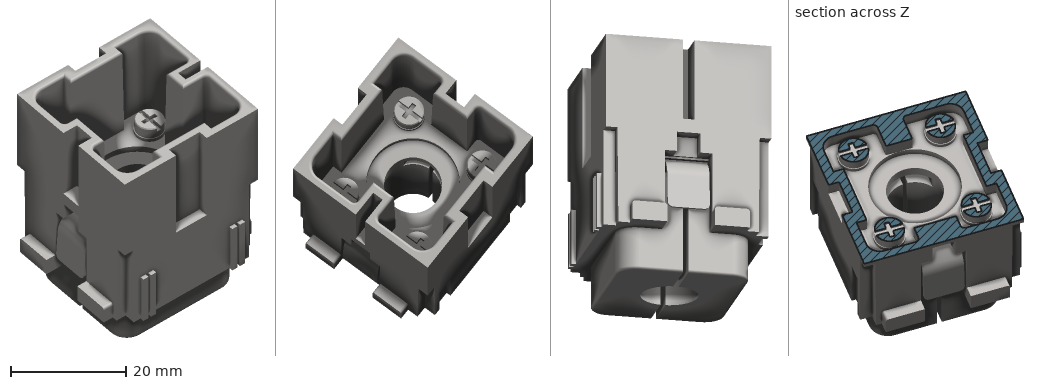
import cadquery as cq
import math

height = 42.0
body_x = 29.5
body_y = 30.0
body_bottom = 7.6
half_x = body_x / 2
half_y = body_y / 2

core_x = 23.7
core_y = 25.58
core_radius = 3.53
core_edge_fillet = 0.45
core_face_y = core_y / 2
bore_diameter = 10.1
counterbore_diameter = 16.3
counterbore_depth = 1.25
slit_width = 0.92

floor_z = 23.35
cavity_half_x = 12.85
cavity_half_y = 13.3
cavity_corner_radius = 2.45
key_root_radius = 0.7
wall_draft = 0.7
rim_fillet = 0.55
side_key_half_width = 6.05
side_key_face = 11.0
front_key_half_width = 3.95
front_key_face = 10.35
back_key_half_width = 2.48
back_key_face = 8.15

side_slot_width = 6.95
side_slot_depth = 1.95
side_slot_bottom = 23.45
end_slot_bottom = 27.43
front_slot_width = 4.07
front_slot_depth = 3.05
back_slot_width = 2.05
back_slot_depth = 5.0

notch_top = 24.95
notch_depth = 2.05
notch_bottom_extra = 0.15

window_width = 8.5
window_top = 21.4
inner_window_top = 21.1
inner_window_depth = 3.95
upper_window_depth = 3.1
passage_top = 20.25
passage_bottom = 18.05
relief_width = 4.2
relief_depth = 2.7

latch_width = 7.5
latch_thickness = 0.5
latch_bottom = 11.0
latch_bend_z = 16.93
latch_top = 20.55
latch_tip_overhang = 0.3
latch_bend_inset = 0.13
latch_corner_radius = 1.0
latch_root_y = 9.25

lug_reach = 2.0
lug_height = 3.4
lug_inner_x = window_width / 2
front_lug_outer_x = 11.45
back_lug_outer_x = 10.45
lug_round = 0.5

guide_top = 17.55
guide_inner_y = 8.5
guide_outer_y = 11.6
groove_depth = 0.85
rib_reach = 0.8
rib_width = 1.15
rib_inner_y = 8.55
rib_pitch = 1.72

screw_x = 8.02
screw_y = 9.3
screw_height = 2.9
screw_radius = 2.65
screw_edge_chamfer = 0.15
collar_radius = 2.77
collar_height = 0.7
drive_width = 0.85
drive_depth = 0.85
cross_length = 3.05

margin = 0.4


def block(x_range, y_range, z_range):
    """Box between the given limits on each axis."""
    limits = (x_range, y_range, z_range)
    size = [high - low for low, high in limits]
    center = [(high + low) / 2 for low, high in limits]
    return cq.Workplane("XY").box(*size).translate(tuple(center))


def centered(width):
    """Limits of a stretch of the given width about zero."""
    return (-width / 2, width / 2)


def drafted_side_key(depth):
    """Key on the +X wall, narrowing upward and sunk past the wall."""
    width_x = half_x - side_key_face
    key = cq.Workplane("XY").rect(2 * width_x, 2 * side_key_half_width)
    return key.extrude(depth, taper=wall_draft).translate((half_x, 0, 0))


def cavity():
    """Open-topped chamber with rounded corners and one key on each wall."""
    x, y = cavity_half_x, cavity_half_y
    depth = height - floor_z
    keys_z = (0, depth)
    chamber = block(centered(2 * x), centered(2 * y), keys_z)
    chamber = chamber.edges("|Z").fillet(cavity_corner_radius)
    front_key = block(centered(2 * front_key_half_width), (-y, -front_key_face), keys_z)
    back_key = block(centered(2 * back_key_half_width), (back_key_face, y), keys_z)
    chamber = chamber.cut(front_key).cut(back_key)
    for root_x, wall_y in ((front_key_half_width, -y), (back_key_half_width, y)):
        near_corner = (-root_x - margin, wall_y - margin, 0)
        far_corner = (root_x + margin, wall_y + margin, depth)
        roots = cq.selectors.BoxSelector(near_corner, far_corner)
        chamber = chamber.edges("|Z").edges(roots).fillet(key_root_radius)
    outline = chamber.faces("<Z").wires().toPending()
    drafted = outline.workplane(invert=True).extrude(depth, taper=-wall_draft, combine=False)
    side_key = drafted_side_key(depth)
    return drafted.cut(side_key).cut(side_key.mirror("YZ"))


def shell():
    """Housing on its core, hollowed from above and rounded along the rim."""
    core = cq.Workplane("XY").rect(core_x, core_y).extrude(body_bottom)
    core = core.edges("|Z").fillet(core_radius).faces("<Z").edges().fillet(core_edge_fillet)
    body = block(centered(body_x), centered(body_y), (body_bottom, height))
    body = body.cut(cavity().translate((0, 0, floor_z)))
    near_corner = (margin - half_x, margin - half_y, height - margin)
    far_corner = (half_x - margin, half_y - margin, height + margin)
    rim = cq.selectors.BoxSelector(near_corner, far_corner)
    return body.edges(rim).fillet(rim_fillet).union(core)


def key_slots():
    """Slots running down the outside of the four keys."""
    side_z = (side_slot_bottom, height)
    end_z = (end_slot_bottom, height)
    side_y = centered(side_slot_width)
    slots = block((-half_x, -half_x + side_slot_depth), side_y, side_z)
    slots = slots.union(block((half_x - side_slot_depth, half_x), side_y, side_z))
    front_y = (-half_y, -half_y + front_slot_depth)
    back_y = (half_y - back_slot_depth, half_y)
    slots = slots.union(block(centered(front_slot_width), front_y, end_z))
    return slots.union(block(centered(back_slot_width), back_y, end_z))


def corner_notches():
    """Square notches with a slight draft at the four lower corners."""
    profile = [
        (half_x, body_bottom),
        (half_x, notch_top),
        (half_x - notch_depth, notch_top),
        (half_x - notch_depth - notch_bottom_extra, body_bottom),
    ]
    notch = cq.Workplane("XZ").polyline(profile).close().extrude(notch_depth)
    notch = notch.translate((0, notch_depth - half_y, 0))
    pair = notch.union(notch.mirror("YZ"))
    return pair.union(pair.mirror("XZ"))


def front_window():
    """Stepped opening for the latch, with a relief above it."""
    width = centered(window_width)
    opening = block(width, (-half_y, -core_face_y), (body_bottom, window_top))
    upper_y = (-half_y, -half_y + upper_window_depth)
    opening = opening.union(block(width, upper_y, (passage_bottom, window_top)))
    inner_y = (-half_y, -half_y + inner_window_depth)
    opening = opening.union(block(width, inner_y, (passage_bottom, inner_window_top)))
    relief_y = (-half_y, -half_y + relief_depth)
    return opening.union(block(centered(relief_width), relief_y, (window_top, notch_top)))


def through_cuts():
    """Bore, counterbore, cross passage and the slit that divides the core."""
    bore = cq.Workplane("XY").circle(bore_diameter / 2).extrude(height)
    counterbore = cq.Workplane("XY").workplane(offset=floor_z - counterbore_depth)
    counterbore = counterbore.circle(counterbore_diameter / 2).extrude(counterbore_depth)
    whole_y = centered(body_y)
    passage = block(centered(window_width), whole_y, (passage_bottom, passage_top))
    slit = block(centered(slit_width), whole_y, (0, passage_bottom))
    return bore.union(counterbore).union(passage).union(slit)


def front_latch():
    """Bent strip: root held in the wall, rounded shoulder, leaf leaning outward."""
    tip_y = -half_y - latch_tip_overhang
    bend_y = -half_y + latch_bend_inset
    radius = latch_top - latch_bend_z
    inner = radius - latch_thickness
    shoulder_y = bend_y + radius
    diagonal = math.sqrt(0.5)
    strip = (
        cq.Workplane("YZ")
        .moveTo(tip_y, latch_bottom)
        .lineTo(bend_y, latch_bend_z)
        .threePointArc(
            (shoulder_y - radius * diagonal, latch_bend_z + radius * diagonal),
            (shoulder_y, latch_top),
        )
        .lineTo(-latch_root_y, latch_top)
        .lineTo(-latch_root_y, latch_top - latch_thickness)
        .lineTo(shoulder_y, latch_top - latch_thickness)
        .threePointArc(
            (shoulder_y - inner * diagonal, latch_bend_z + inner * diagonal),
            (shoulder_y - inner, latch_bend_z),
        )
        .lineTo(tip_y + latch_thickness, latch_bottom)
        .close()
        .extrude(latch_width / 2, both=True)
    )
    face = block(centered(latch_width), centered(2 * body_y), (latch_bottom, latch_top))
    face = face.faces("<Z").edges("|Y").fillet(latch_corner_radius)
    return strip.intersect(face)


def lugs():
    """Two lugs on each end wall, rounded along their upper edges."""
    lug_z = (body_bottom, body_bottom + lug_height)
    front_y = (-half_y - lug_reach, -core_face_y)
    back_y = (core_face_y, half_y + lug_reach)
    front = block((lug_inner_x, front_lug_outer_x), front_y, lug_z)
    front = front.edges("|Y and >Z and >X").fillet(lug_round)
    back = block((lug_inner_x, back_lug_outer_x), back_y, lug_z)
    back = back.edges("|Y and >Z").fillet(lug_round)
    pair = front.union(back)
    return pair.union(pair.mirror("YZ"))


def guide_grooves():
    """Two grooves in the -X wall, open at the bottom."""
    groove_x = (-half_x, -half_x + groove_depth)
    groove = block(groove_x, (guide_inner_y, guide_outer_y), (body_bottom, guide_top))
    return groove.union(groove.mirror("XZ"))


def guide_ribs():
    """Two pairs of ribs on the +X wall."""
    ribs = cq.Workplane("XY")
    for start in (rib_inner_y, rib_inner_y + rib_pitch):
        rib_x = (half_x - groove_depth, half_x + rib_reach)
        rib = block(rib_x, (start, start + rib_width), (body_bottom, guide_top))
        ribs = ribs.add(rib).add(rib.mirror("XZ"))
    return ribs.combine()


def screw():
    """Screw head on a slightly wider collar, slotted and cross-recessed."""
    head = cq.Workplane("XY").circle(screw_radius).extrude(screw_height)
    head = head.faces(">Z").edges().chamfer(screw_edge_chamfer)
    head = head.union(cq.Workplane("XY").circle(collar_radius).extrude(collar_height))
    drive_y = centered(drive_width)
    drive_z = (screw_height - drive_depth, screw_height)
    slot = block(centered(2 * collar_radius), drive_y, drive_z)
    cross = block(drive_y, centered(cross_length), drive_z)
    return head.cut(slot).cut(cross)


window = front_window()
latch = front_latch()
part = shell()
for cutter in (key_slots(), corner_notches(), window, window.mirror("XZ"), guide_grooves()):
    part = part.cut(cutter)
part = part.cut(through_cuts())
for addition in (latch, latch.mirror("XZ"), lugs(), guide_ribs()):
    part = part.union(addition)
for x in (-screw_x, screw_x):
    for y in (-screw_y, screw_y):
        part = part.union(screw().translate((x, y, floor_z)))

result = part